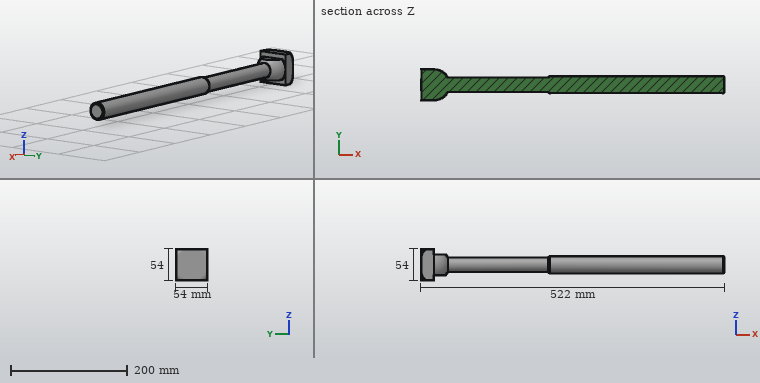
import cadquery as cq
import math

HEAD_SIDE = 54.0
HEAD_THICKNESS = 22.0
NECK_RADIUS = HEAD_SIDE / 2
NECK_WIDTH = 36.0
TOTAL_LENGTH = 522.0
THREAD_DIAMETER = 30.0
THREAD_LENGTH = 300.0
RUNOUT_ANGLE = 30.0
SHANK_DIAMETER = 25.5
TIP_DIAMETER = SHANK_DIAMETER
TIP_CHAMFER_LENGTH = (THREAD_DIAMETER - TIP_DIAMETER) / 2


def box_along_x(length, width, height):
    """Box starting at x = 0 and centred on the X axis."""
    return cq.Workplane("XY").box(length, width, height, centered=(False, True, True))


def make_head():
    """Square plate whose front corners are rounded by a turned profile around the bolt axis."""
    face_radius = HEAD_SIDE / 2
    corner_radius = HEAD_SIDE / math.sqrt(2)
    round_radius = corner_radius - face_radius
    round_middle = round_radius * math.sqrt(0.5)
    turned_blank = (
        cq.Workplane("XY")
        .lineTo(0, face_radius)
        .threePointArc(
            (round_radius - round_middle, face_radius + round_middle),
            (round_radius, corner_radius),
        )
        .lineTo(HEAD_THICKNESS, corner_radius)
        .lineTo(HEAD_THICKNESS, 0)
        .close()
        .revolve(360, (0, 0), (1, 0))
    )
    return box_along_x(HEAD_THICKNESS, HEAD_SIDE, HEAD_SIDE).intersect(turned_blank)


def make_neck():
    """Half ball behind the head, flattened above and below to the slot width."""
    ball = cq.Workplane("XY").sphere(NECK_RADIUS)
    slab = box_along_x(NECK_RADIUS, HEAD_SIDE, NECK_WIDTH)
    return ball.intersect(slab).translate((HEAD_THICKNESS, 0, 0))


def make_rod():
    """Plain shank, conical run-out, threaded length and chamfered tip."""
    shank_radius = SHANK_DIAMETER / 2
    thread_radius = THREAD_DIAMETER / 2
    runout_length = (thread_radius - shank_radius) / math.tan(math.radians(RUNOUT_ANGLE))
    thread_start = TOTAL_LENGTH - THREAD_LENGTH
    return (
        cq.Workplane("XY")
        .moveTo(HEAD_THICKNESS, 0)
        .lineTo(HEAD_THICKNESS, shank_radius)
        .lineTo(thread_start - runout_length, shank_radius)
        .lineTo(thread_start, thread_radius)
        .lineTo(TOTAL_LENGTH - TIP_CHAMFER_LENGTH, thread_radius)
        .lineTo(TOTAL_LENGTH, TIP_DIAMETER / 2)
        .lineTo(TOTAL_LENGTH, 0)
        .close()
        .revolve(360, (0, 0), (1, 0))
    )


result = make_head().union(make_neck()).union(make_rod())